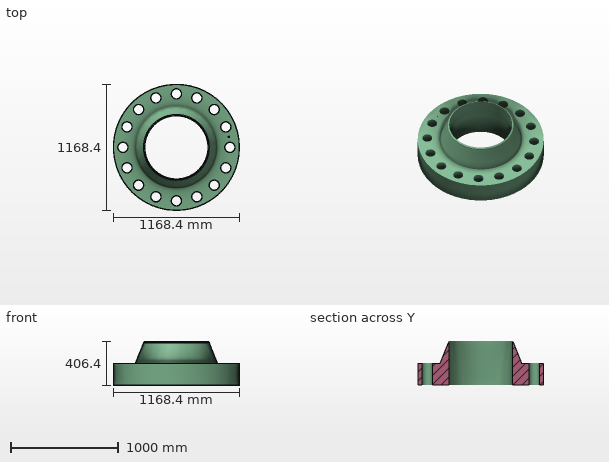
import cadquery as cq
import math

flange_diameter = 1168.4
flange_thickness = 203.2

overall_height = 406.4
hub_base_diameter = 762.0
hub_base_fillet = 3.2
neck_diameter = 609.6
bore_diameter = 584.2
neck_straight_height = 6.4

bevel_angle = 37.5
root_face_width = 1.6

bolt_count = 16
bolt_circle_diameter = 990.6
bolt_hole_diameter = 92.1

marker_hole_diameter = 12.7
marker_hole_depth = 20.0
drill_point_angle = 118


def make_body():
    """Revolve the flange, tapered hub and bevelled neck about Z, then round the hub base."""
    bore_radius = bore_diameter / 2
    neck_radius = neck_diameter / 2
    tip_radius = bore_radius + root_face_width
    bevel_height = (neck_radius - tip_radius) * math.tan(math.radians(bevel_angle))
    bevel_start = overall_height - bevel_height
    profile = [
        (bore_radius, 0),
        (flange_diameter / 2, 0),
        (flange_diameter / 2, flange_thickness),
        (hub_base_diameter / 2, flange_thickness),
        (neck_radius, bevel_start - neck_straight_height),
        (neck_radius, bevel_start),
        (tip_radius, overall_height),
        (bore_radius, overall_height),
    ]
    body = cq.Workplane("XZ").polyline(profile).close().revolve(360, (0, 0, 0), (0, 1, 0))
    second_largest_circle = cq.selectors.RadiusNthSelector(-2)
    return body.edges("%CIRCLE").edges(second_largest_circle).fillet(hub_base_fillet)


def cut_bolt_holes(body):
    """Drill the ring of bolt holes through the flange, the first one on +X."""
    holes = (
        cq.Workplane("XY")
        .polarArray(bolt_circle_diameter / 2, 0, 360, bolt_count)
        .circle(bolt_hole_diameter / 2)
        .extrude(flange_thickness)
    )
    return body.cut(holes)


def cut_marker_hole(body):
    """Drill the small blind hole with a conical bottom, half a bolt pitch from +X, on the bolt circle."""
    half_pitch = math.radians(360 / bolt_count / 2)
    radius = bolt_circle_diameter / 2
    hole_radius = marker_hole_diameter / 2
    point_height = hole_radius / math.tan(math.radians(drill_point_angle / 2))
    profile = [
        (0, 0),
        (hole_radius, 0),
        (hole_radius, -marker_hole_depth),
        (0, -marker_hole_depth - point_height),
    ]
    hole = (
        cq.Workplane("XZ")
        .polyline(profile)
        .close()
        .revolve(360, (0, 0, 0), (0, 1, 0))
        .translate((radius * math.cos(half_pitch), radius * math.sin(half_pitch), flange_thickness))
    )
    return body.cut(hole)


result = cut_marker_hole(cut_bolt_holes(make_body()))